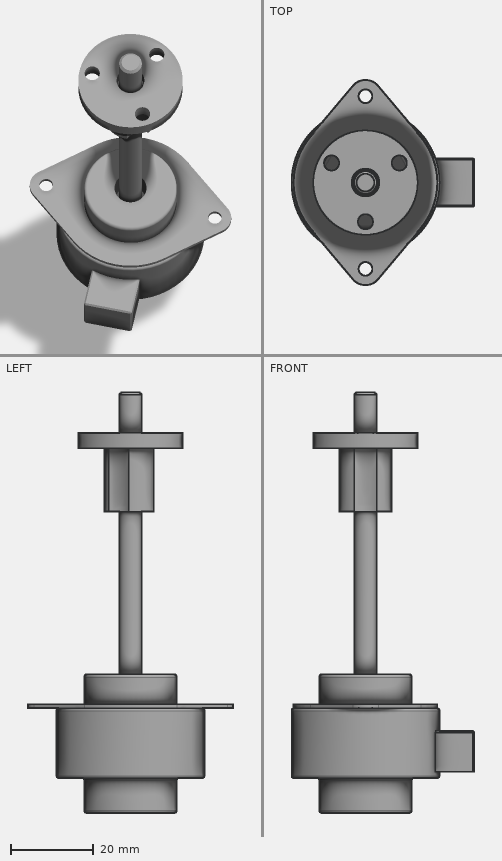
import cadquery as cq
import math

overall_height = 102.4
screw_radius = 2.8
screw_tip_chamfer = 0.6

case_radius = 18.0
case_bottom = 8.5
case_top = 25.5
case_fillet = 0.6
boss_radius = 11.3
boss_top = 33.8
boss_edge_fillet = 0.7
boss_root_fillet = 0.5
screw_clearance_radius = 3.9

plate_thickness = 1.0
plate_top = case_top + plate_thickness
plate_radius = 17.5
plate_length = 50.0
ear_radius = 4.0
ear_offset = plate_length / 2 - ear_radius
ear_hole_radius = 1.6

connector_end = 26.5
connector_width = 11.9
connector_bottom = 10.0
connector_top = 20.0
connector_chamfer = 0.39

nut_bottom = 73.3
flange_bottom = 88.7
flange_top = 92.5
flange_radius = 12.7
hub_radius = 6.3
nut_bore_radius = 3.1
nut_counterbore_radius = 3.4
nut_hole_count = 3
nut_hole_radius = 1.8
nut_hole_circle_radius = 9.5
hub_groove_radius = 4.7


def cylinder(radius, bottom, top):
    """Upright cylinder on the Z axis."""
    return cq.Workplane("XY").workplane(offset=bottom).circle(radius).extrude(top - bottom)


def make_plate():
    """Round plate drawn out to two rounded ears by tangent flanks."""
    tangent = math.asin((plate_radius - ear_radius) / ear_offset)
    flank_x = math.cos(tangent)
    flank_y = math.sin(tangent)
    plate_x = plate_radius * flank_x
    plate_y = plate_radius * flank_y
    ear_x = ear_radius * flank_x
    ear_y = ear_offset + ear_radius * flank_y
    outline = (
        cq.Workplane("XY")
        .workplane(offset=case_top)
        .moveTo(plate_x, -plate_y)
        .threePointArc((plate_radius, 0), (plate_x, plate_y))
        .lineTo(ear_x, ear_y)
        .threePointArc((0, plate_length / 2), (-ear_x, ear_y))
        .lineTo(-plate_x, plate_y)
        .threePointArc((-plate_radius, 0), (-plate_x, -plate_y))
        .lineTo(-ear_x, -ear_y)
        .threePointArc((0, -plate_length / 2), (ear_x, -ear_y))
        .close()
    )
    plate = outline.extrude(plate_thickness)
    holes = (
        cq.Workplane("XY")
        .workplane(offset=case_top)
        .pushPoints([(0, ear_offset), (0, -ear_offset)])
        .circle(ear_hole_radius)
        .extrude(plate_thickness)
    )
    return plate.cut(holes)


def make_connector():
    """Box on the case side, chamfered along its top, side and outer upright edges."""
    block = (
        cq.Workplane("XY")
        .workplane(offset=connector_bottom)
        .center(connector_end / 2, 0)
        .rect(connector_end, connector_width)
        .extrude(connector_top - connector_bottom)
    )
    return block.faces(">Z or >X").edges("not <Z").edges("not <X").chamfer(connector_chamfer)


def make_housing():
    """Round case with a boss above and below, the lower one blended into the case."""
    case = cylinder(case_radius, case_bottom, case_top).edges().fillet(case_fillet)
    bosses = cylinder(boss_radius, 0, boss_top).edges().fillet(boss_edge_fillet)
    housing = case.union(bosses)
    reach = boss_radius + boss_root_fillet
    lower_boss_root = cq.selectors.BoxSelector(
        (-reach, -reach, case_bottom - boss_root_fillet),
        (reach, reach, case_bottom + boss_root_fillet),
        boundingbox=True,
    )
    return housing.edges(lower_boss_root).fillet(boss_root_fillet)


def make_motor():
    """Housing, plate and connector in one piece with the screw, which stands free inside the upper boss."""
    motor = make_housing().union(make_plate()).union(make_connector())
    motor = motor.cut(cylinder(screw_clearance_radius, plate_top, boss_top))
    screw = cylinder(screw_radius, case_bottom, overall_height).faces(">Z").chamfer(screw_tip_chamfer)
    return motor.union(screw)


def make_nut():
    """Flange and hub around the screw, the hub grooved below each flange hole to clear the screw heads."""
    hub = cylinder(hub_radius, nut_bottom, flange_bottom)
    flange = cylinder(flange_radius, flange_bottom, flange_top)
    for index in range(nut_hole_count):
        angle = math.radians(-90 + index * 360 / nut_hole_count)
        place = (nut_hole_circle_radius * math.cos(angle), nut_hole_circle_radius * math.sin(angle), 0)
        hub = hub.cut(cylinder(hub_groove_radius, nut_bottom, flange_bottom).translate(place))
        flange = flange.cut(cylinder(nut_hole_radius, flange_bottom, flange_top).translate(place))
    nut = hub.union(flange)
    nut = nut.cut(cylinder(nut_bore_radius, nut_bottom, flange_top))
    return nut.cut(cylinder(nut_counterbore_radius, flange_bottom, flange_top))


motor = make_motor()
nut = make_nut()
result = cq.Compound.makeCompound([motor.val(), nut.val()])